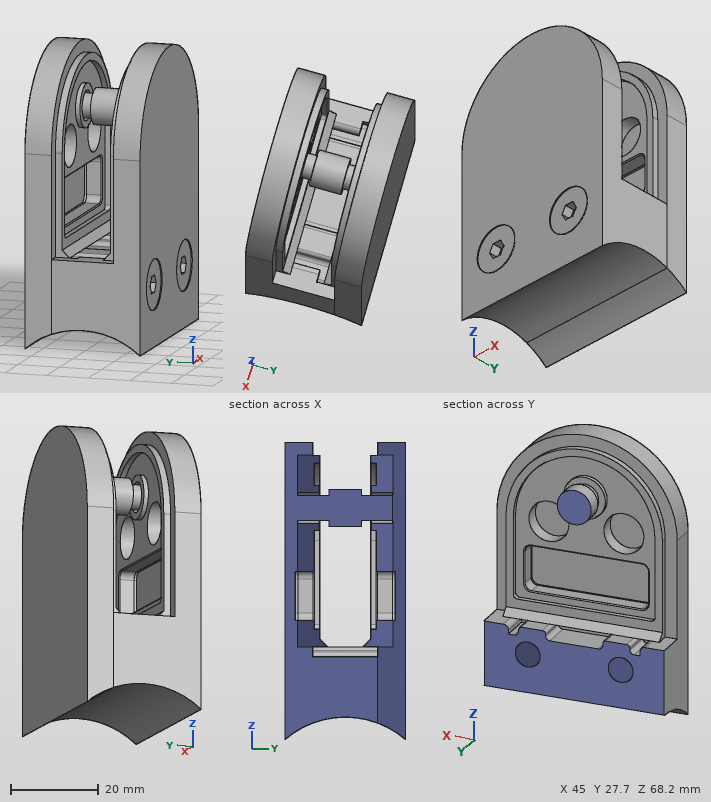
import cadquery as cq
import math

HEIGHT = 68.15
WIDTH = 45.0
DEPTH = 27.7
TOP_Z = HEIGHT / 2
BOTTOM_Z = -HEIGHT / 2
OUTER_Y = DEPTH / 2
ARC_Z = TOP_Z - WIDTH / 2

PLATE_THICKNESS = 6.4
INNER_Y = OUTER_Y - PLATE_THICKNESS
SLOT_FLOOR_Z = -12.8
TUBE_RADIUS = 21.2

PAD_WIDTH = 39.0
PAD_PROUD = 1.65
PAD_FOOT = 1.8
PAD_Y = INNER_Y - PAD_PROUD
WINDOW_WIDTH = 35.3
WINDOW_DEPTH = 1.3
WINDOW_BOTTOM_Z = -8.7
WINDOW_CORNER_RADIUS = 1.0

PIN_Z = 19.0
PIN_DIAMETER = 5.8
PIN_SLEEVE_DIAMETER = 8.6
PIN_SLEEVE_LENGTH = 7.5
PIN_HOLE_DIAMETER = 7.1
COLLAR_DIAMETER = 10.35
COLLAR_HEIGHT = 1.1

WINDOW_Y = PAD_Y + WINDOW_DEPTH
WEB_THICKNESS = 3.75
PAD_BACK_Y = WINDOW_Y + WEB_THICKNESS
ROUND_OPENING_DIAMETER = 9.95
ROUND_OPENING_X = 9.35
ROUND_OPENING_Z = 11.3
BOX_OPENING_WIDTH = 30.8
BOX_OPENING_TOP_Z = 4.4
BOX_OPENING_BOTTOM_Z = -6.75
BOX_OPENING_CORNER_RADIUS = 1.7
BOX_OPENING_CHAMFER = 0.3
BOX_SINK_DEPTH = 0.58

CHANNEL_DEPTH = 2.25
CHANNEL_HALF_WIDTH = 16.35
CHANNEL_LIP_RADIUS = 1.3
RIB_X = 10.5
RIB_TOP_WIDTH = 5.2
RIB_TOP_RADIUS = 0.8
RIB_ROOT_RADIUS = 1.1
RECESS_FRONT_Y = 2.25
RECESS_EDGE_RADIUS = 1.15

SCREW_X = 11.6
SCREW_Z = -19.4
HEAD_DIAMETER = 12.0
HEAD_HEIGHT = 3.4
HEAD_RECESS = 0.3
SHANK_DIAMETER = 6.0
SHANK_END_Y = 11.6
HEX_ACROSS_FLATS = 3.95
HEX_DEPTH = 2.7


def extrude_y(sketch, start_y, end_y):
    """Extrude an XZ sketch between two Y positions."""
    return sketch.extrude(-(end_y - start_y)).translate((0, start_y, 0))


def box(x, y, z):
    """Box from three (low, high) ranges."""
    size = [high - low for low, high in (x, y, z)]
    return cq.Workplane("XY").box(*size, centered=False).translate((x[0], y[0], z[0]))


def rod(diameter, x, z, start_y, end_y):
    """Cylinder along Y."""
    return extrude_y(cq.Workplane("XZ").center(x, z).circle(diameter / 2), start_y, end_y)


def arch(width, bottom_z, start_y, end_y):
    """Plate with a flat bottom, straight sides and a half-round top."""
    half = width / 2
    outline = (
        cq.Workplane("XZ")
        .moveTo(-half, bottom_z)
        .lineTo(half, bottom_z)
        .lineTo(half, ARC_Z)
        .threePointArc((0, ARC_Z + half), (-half, ARC_Z))
        .close()
    )
    return extrude_y(outline, start_y, end_y)


def mirror_y(body):
    """Front counterpart of a back shape."""
    return body.mirror("XZ")


def tube_cutter():
    """Tube below the clamp, through both bottom outer edges."""
    centre_z = BOTTOM_Z - math.sqrt(TUBE_RADIUS**2 - OUTER_Y**2)
    return cq.Workplane("YZ").center(0, centre_z).circle(TUBE_RADIUS).extrude(WIDTH, both=True)


def box_opening(start_y, end_y):
    """Rounded rectangle below the round openings, between two Y positions."""
    height = BOX_OPENING_TOP_Z - BOX_OPENING_BOTTOM_Z
    centre_z = (BOX_OPENING_TOP_Z + BOX_OPENING_BOTTOM_Z) / 2
    outline = cq.Workplane("XZ").center(0, centre_z).rect(BOX_OPENING_WIDTH, height)
    return extrude_y(outline, start_y, end_y).edges("|Y").fillet(BOX_OPENING_CORNER_RADIUS)


def bevelled_box_opening():
    """Box opening through the pad, widened by a 45-degree bevel at the window floor."""
    opening = box_opening(WINDOW_Y + BOX_OPENING_CHAMFER, PAD_BACK_Y)
    front_outline = opening.faces("<Y").wires().toPending().workplane()
    return front_outline.extrude(BOX_OPENING_CHAMFER, taper=-45)


def pad_seat():
    """Cutter for the back plate: the pad's bed and the sunk box behind it."""
    bed = arch(PAD_WIDTH, SLOT_FLOOR_Z, INNER_Y, PAD_BACK_Y)
    return bed.union(box_opening(PAD_BACK_Y, PAD_BACK_Y + BOX_SINK_DEPTH))


def floor_channels():
    """Cutter for the channels: a wide trough less the two ribs, with rounded lips."""
    floor_z = SLOT_FLOOR_Z - CHANNEL_DEPTH
    lip_x = CHANNEL_HALF_WIDTH + CHANNEL_LIP_RADIUS
    diagonal = math.sqrt(0.5)
    lip_mid_x = lip_x - CHANNEL_LIP_RADIUS * diagonal
    lip_mid_z = SLOT_FLOOR_Z - CHANNEL_LIP_RADIUS * (1 - diagonal)
    lip_end_z = SLOT_FLOOR_Z - CHANNEL_LIP_RADIUS
    trough = (
        cq.Workplane("XZ")
        .moveTo(-lip_x, SLOT_FLOOR_Z)
        .threePointArc((-lip_mid_x, lip_mid_z), (-CHANNEL_HALF_WIDTH, lip_end_z))
        .lineTo(-CHANNEL_HALF_WIDTH, floor_z)
        .lineTo(CHANNEL_HALF_WIDTH, floor_z)
        .lineTo(CHANNEL_HALF_WIDTH, lip_end_z)
        .threePointArc((lip_mid_x, lip_mid_z), (lip_x, SLOT_FLOOR_Z))
        .close()
    )
    return extrude_y(trough, -INNER_Y, INNER_Y)


def floor_recess():
    """Cutter for the wide rear end of the channels, whose floor rounds down at both ends."""
    floor_z = SLOT_FLOOR_Z - CHANNEL_DEPTH
    half = PAD_WIDTH / 2
    side_z = floor_z - RECESS_EDGE_RADIUS
    flat_x = half - RECESS_EDGE_RADIUS
    mid_x = flat_x + RECESS_EDGE_RADIUS * math.sqrt(0.5)
    mid_z = side_z + RECESS_EDGE_RADIUS * math.sqrt(0.5)
    outline = (
        cq.Workplane("XZ")
        .moveTo(-half, SLOT_FLOOR_Z)
        .lineTo(-half, side_z)
        .threePointArc((-mid_x, mid_z), (-flat_x, floor_z))
        .lineTo(flat_x, floor_z)
        .threePointArc((mid_x, mid_z), (half, side_z))
        .lineTo(half, SLOT_FLOOR_Z)
        .close()
    )
    return extrude_y(outline, RECESS_FRONT_Y, INNER_Y)


def floor_rib(x):
    """Rib with rounded top edges and flared roots, level with the slot floor."""
    floor_z = SLOT_FLOOR_Z - CHANNEL_DEPTH
    top_half = RIB_TOP_WIDTH / 2
    wall = top_half + RIB_TOP_RADIUS
    root_half = wall + RIB_ROOT_RADIUS
    wall_z = floor_z + RIB_ROOT_RADIUS
    bend = 1 - math.sqrt(0.5)
    root_mid = (wall + RIB_ROOT_RADIUS * bend, floor_z + RIB_ROOT_RADIUS * bend)
    top_mid = (wall - RIB_TOP_RADIUS * bend, SLOT_FLOOR_Z - RIB_TOP_RADIUS * bend)
    outline = (
        cq.Workplane("XZ")
        .moveTo(-root_half, floor_z)
        .threePointArc((-root_mid[0], root_mid[1]), (-wall, wall_z))
        .lineTo(-wall, SLOT_FLOOR_Z - RIB_TOP_RADIUS)
        .threePointArc((-top_mid[0], top_mid[1]), (-top_half, SLOT_FLOOR_Z))
        .lineTo(top_half, SLOT_FLOOR_Z)
        .threePointArc(top_mid, (wall, SLOT_FLOOR_Z - RIB_TOP_RADIUS))
        .lineTo(wall, wall_z)
        .threePointArc(root_mid, (root_half, floor_z))
        .close()
    )
    return extrude_y(outline, -INNER_Y, INNER_Y).translate((x, 0, 0))


def make_screw(x):
    """Flush socket-head screw, entering from the front."""
    head_y = -OUTER_Y + HEAD_RECESS
    shank_y = head_y + HEAD_HEIGHT
    screw = rod(HEAD_DIAMETER, x, SCREW_Z, head_y, shank_y)
    screw = screw.union(rod(SHANK_DIAMETER, x, SCREW_Z, shank_y, SHANK_END_Y))
    hex_diameter = HEX_ACROSS_FLATS / math.cos(math.pi / 6)
    socket = cq.Workplane("XZ").center(x, SCREW_Z).polygon(6, hex_diameter)
    return screw.cut(extrude_y(socket, head_y, head_y + HEX_DEPTH))


def screw_hole(x):
    """Matching hole for one screw, open at the front."""
    shank_y = -OUTER_Y + HEAD_RECESS + HEAD_HEIGHT
    counterbore = rod(HEAD_DIAMETER, x, SCREW_Z, -OUTER_Y, shank_y)
    return counterbore.union(rod(SHANK_DIAMETER, x, SCREW_Z, shank_y, SHANK_END_Y))


def make_back_plate():
    plate = arch(WIDTH, BOTTOM_Z, INNER_Y, OUTER_Y)
    plate = plate.cut(tube_cutter()).cut(pad_seat())
    for x in (-SCREW_X, SCREW_X):
        plate = plate.cut(screw_hole(x))
    return plate


def make_front_body():
    """Front plate in one piece with the block and the safety pin."""
    body = arch(WIDTH, BOTTOM_Z, -OUTER_Y, -INNER_Y).cut(mirror_y(pad_seat()))
    block = box((-WIDTH / 2, WIDTH / 2), (-INNER_Y, INNER_Y), (BOTTOM_Z, SLOT_FLOOR_Z))
    channels = floor_channels().union(floor_recess())
    for x in (-RIB_X, RIB_X):
        channels = channels.cut(floor_rib(x))
    body = body.union(block.cut(channels)).cut(tube_cutter())
    for x in (-SCREW_X, SCREW_X):
        body = body.cut(screw_hole(x))
    pin = rod(PIN_DIAMETER, 0, PIN_Z, -PAD_BACK_Y, PAD_BACK_Y)
    sleeve = rod(PIN_SLEEVE_DIAMETER, 0, PIN_Z, -PIN_SLEEVE_LENGTH / 2, PIN_SLEEVE_LENGTH / 2)
    return body.union(pin).union(sleeve)


def make_back_pad():
    """Pad bedded in its plate, with a raised rim, a foot and a collar round the pin."""
    pad = arch(PAD_WIDTH, SLOT_FLOOR_Z, PAD_Y, PAD_BACK_Y)
    foot = (
        cq.Workplane("YZ")
        .moveTo(PAD_Y, SLOT_FLOOR_Z)
        .lineTo(PAD_Y - PAD_FOOT, SLOT_FLOOR_Z)
        .lineTo(PAD_Y, SLOT_FLOOR_Z + PAD_FOOT)
        .close()
        .extrude(PAD_WIDTH / 2, both=True)
    )
    window = arch(WINDOW_WIDTH, WINDOW_BOTTOM_Z, PAD_Y, WINDOW_Y)
    window = window.edges("|Y and <Z").fillet(WINDOW_CORNER_RADIUS)
    collar = rod(COLLAR_DIAMETER, 0, PIN_Z, WINDOW_Y - COLLAR_HEIGHT, WINDOW_Y)
    pad = pad.union(foot).cut(window).union(collar)
    pad = pad.cut(bevelled_box_opening())
    for x in (-ROUND_OPENING_X, ROUND_OPENING_X):
        pad = pad.cut(rod(ROUND_OPENING_DIAMETER, x, ROUND_OPENING_Z, WINDOW_Y, PAD_BACK_Y))
    return pad.cut(rod(PIN_HOLE_DIAMETER, 0, PIN_Z, PAD_Y, PAD_BACK_Y))


front_body = make_front_body()
back_plate = make_back_plate()
back_pad = make_back_pad()
front_pad = mirror_y(back_pad)
screws = [make_screw(x) for x in (-SCREW_X, SCREW_X)]

result = cq.Compound.makeCompound(
    [
        front_body.val(),
        back_plate.val(),
        front_pad.val(),
        back_pad.val(),
        *[screw.val() for screw in screws],
    ]
)